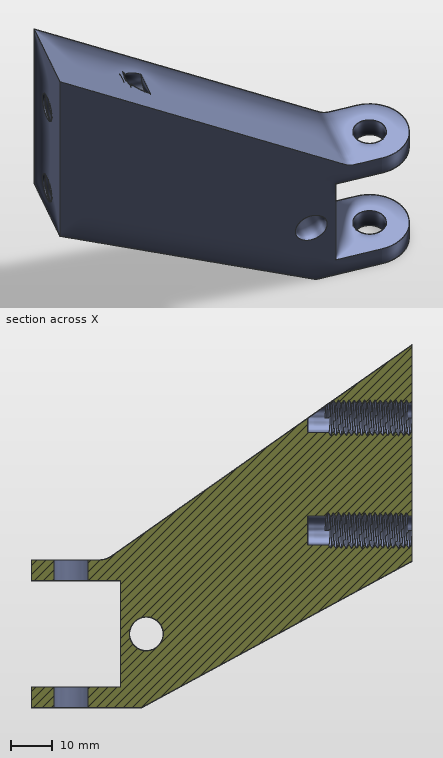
import cadquery as cq
import math

width = 19.05
length = 91.15
height = 87.0

lug_thickness = 5.0
clevis_height = 35.5
slot_depth = 21.3
lug_radius = width / 2
pin_diameter = 8.0

ramp_foot_y = 73.3
ramp_fillet = 5.0
underside_foot_y = 64.8
front_face_bottom = 35.1

cross_hole_y = 63.6
cross_hole_z = clevis_height / 2
cross_hole_diameter = 8.0

tapped_hole_heights = (42.5, 69.5)
tap_drill_diameter = 6.9
tap_drill_depth = 25.0
thread_major_diameter = 8.5
thread_angle = 60
thread_length = 20.0
thread_turns = 16
thread_pitch = thread_length / thread_turns
groove_overlap = 0.1


def make_body():
    """Side profile extruded across the width, with the inner corner above the lug rounded."""
    profile = (
        cq.Workplane("YZ")
        .moveTo(0, front_face_bottom)
        .lineTo(underside_foot_y, 0)
        .lineTo(length, 0)
        .lineTo(length, clevis_height)
        .lineTo(ramp_foot_y, clevis_height)
        .lineTo(0, height)
        .close()
    )
    body = profile.extrude(width / 2, both=True)
    ramp_corner = cq.selectors.NearestToPointSelector((0, ramp_foot_y, clevis_height))
    return body.edges(ramp_corner).fillet(ramp_fillet)


def cut_clevis(body):
    """Slot between the lugs, rounded lug ends and the pin hole through both lugs."""
    slot = cq.Workplane("XY").box(
        width, slot_depth, clevis_height - 2 * lug_thickness, centered=(True, False, False)
    ).translate((0, length - slot_depth, lug_thickness))
    body = body.cut(slot)

    lug_centre_y = length - lug_radius
    outline = (
        cq.Workplane("XY")
        .moveTo(-width / 2, 0)
        .lineTo(-width / 2, lug_centre_y)
        .threePointArc((0, length), (width / 2, lug_centre_y))
        .lineTo(width / 2, 0)
        .close()
        .extrude(height)
    )
    pin_hole = (
        cq.Workplane("XY").center(0, lug_centre_y).circle(pin_diameter / 2).extrude(clevis_height)
    )
    return body.intersect(outline).cut(pin_hole)


def cross_hole():
    """Cylinder along X through the full width."""
    return (
        cq.Workplane("YZ")
        .center(cross_hole_y, cross_hole_z)
        .circle(cross_hole_diameter / 2)
        .extrude(width / 2, both=True)
    )


def tapped_hole():
    """Flat-bottomed drill hole from the origin along +Y, with a right-hand helical V-groove."""
    drill_radius = tap_drill_diameter / 2
    root_radius = thread_major_diameter / 2
    groove_half_angle = math.radians(thread_angle / 2)
    inner_radius = drill_radius - groove_overlap
    half_mouth = (root_radius - drill_radius) * math.tan(groove_half_angle)
    half_base = (root_radius - inner_radius) * math.tan(groove_half_angle)

    drill = cq.Solid.makeCylinder(drill_radius, tap_drill_depth)
    helix = cq.Wire.makeHelix(thread_pitch, thread_length, drill_radius)
    groove = (
        cq.Workplane("XZ")
        .moveTo(inner_radius, -half_base)
        .lineTo(root_radius, 0)
        .lineTo(inner_radius, half_base)
        .close()
        .sweep(cq.Workplane(helix), isFrenet=True)
        .translate((0, 0, half_mouth))
    )
    hole = cq.Workplane(drill).union(groove)
    return hole.rotate((0, 0, 0), (1, 0, 0), -90)


bracket = cut_clevis(make_body()).cut(cross_hole())
hole_tool = tapped_hole()
for hole_height in tapped_hole_heights:
    bracket = bracket.cut(hole_tool.translate((0, 0, hole_height)))

result = bracket.solids()